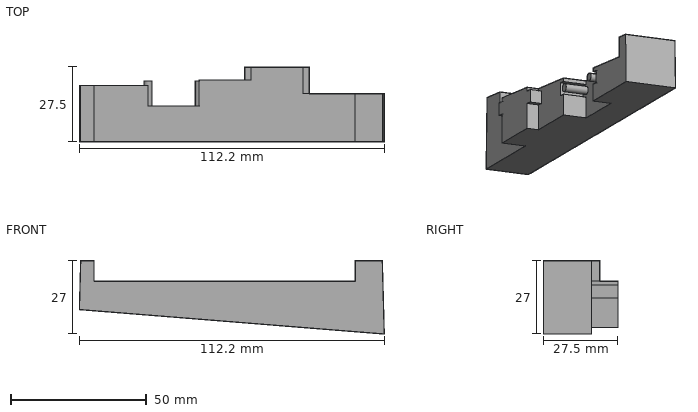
import cadquery as cq
import math


top_length = 111.0
post_height = 7.5
left_post_length = 5.0
right_post_length = 10.0
left_total_height = 18.0
right_total_height = 27.0
end_draft_deg = 1.54

full_width = 27.5
left_width = 20.75
middle_width = 22.75
right_width = 17.75

socket_start = 24.8
socket_width = 18.8
socket_depth = 9.5
tongue_start = 62.75
tongue_width = 19.0

rib_top = -1.4
rib_height = 4.75
rib_reach = 2.4

pin_diameter = 3.0
pin_length = 9.2
pin_center_z = -3.65

socket_end = socket_start + socket_width
socket_floor = middle_width - socket_depth
tongue_end = tongue_start + tongue_width


def box(x_start, x_end, y_start, y_end, z_bottom, z_top):
    """Axis-aligned box between the given limits."""
    size = (x_end - x_start, y_end - y_start, z_top - z_bottom)
    return cq.Workplane("XY").box(*size, centered=False).translate((x_start, y_start, z_bottom))


def make_wedge():
    """Side profile extruded over the full width, ends leaning outward towards the bottom."""
    draft = math.tan(math.radians(end_draft_deg))
    profile = [
        (0, post_height),
        (left_post_length, post_height),
        (left_post_length, 0),
        (top_length - right_post_length, 0),
        (top_length - right_post_length, post_height),
        (top_length, post_height),
        (top_length + right_total_height * draft, post_height - right_total_height),
        (-left_total_height * draft, post_height - left_total_height),
    ]
    return cq.Workplane("XZ").polyline(profile).close().extrude(-full_width)


def make_plan():
    """Stepped plan outline, as tall as the wedge and overlapping its drafted ends."""
    x_min = -left_total_height
    x_max = top_length + right_total_height
    outline = [
        (x_min, 0),
        (x_max, 0),
        (x_max, right_width),
        (tongue_end, right_width),
        (tongue_end, full_width),
        (tongue_start, full_width),
        (tongue_start, middle_width),
        (socket_end, middle_width),
        (socket_end, socket_floor),
        (socket_start, socket_floor),
        (socket_start, left_width),
        (x_min, left_width),
    ]
    plan = cq.Workplane("XY").workplane(offset=post_height - right_total_height)
    return plan.polyline(outline).close().extrude(right_total_height)


def make_tongue_ribs():
    """Rib on each side of the tongue, running to the face beside it."""
    rib_bottom = rib_top - rib_height
    left_rib = box(tongue_start - rib_reach, tongue_start, middle_width, full_width, rib_bottom, rib_top)
    right_rib = box(tongue_end, tongue_end + rib_reach, right_width, full_width, rib_bottom, rib_top)
    return left_rib.union(right_rib)


def make_socket_grooves():
    """One bar across the socket that reaches into both walls."""
    return box(
        socket_start - rib_reach,
        socket_end + rib_reach,
        socket_floor,
        full_width,
        rib_top - rib_height,
        rib_top,
    )


def make_pin(center_x):
    """Round pin along +Y from the socket floor."""
    plane = cq.Workplane("XZ", origin=(center_x, socket_floor, pin_center_z))
    return plane.circle(pin_diameter / 2).extrude(-pin_length)


body = make_wedge().intersect(make_plan())
body = body.union(make_tongue_ribs())
body = body.cut(make_socket_grooves())
for wall_x in (socket_start, socket_end):
    body = body.union(make_pin(wall_x))

result = body